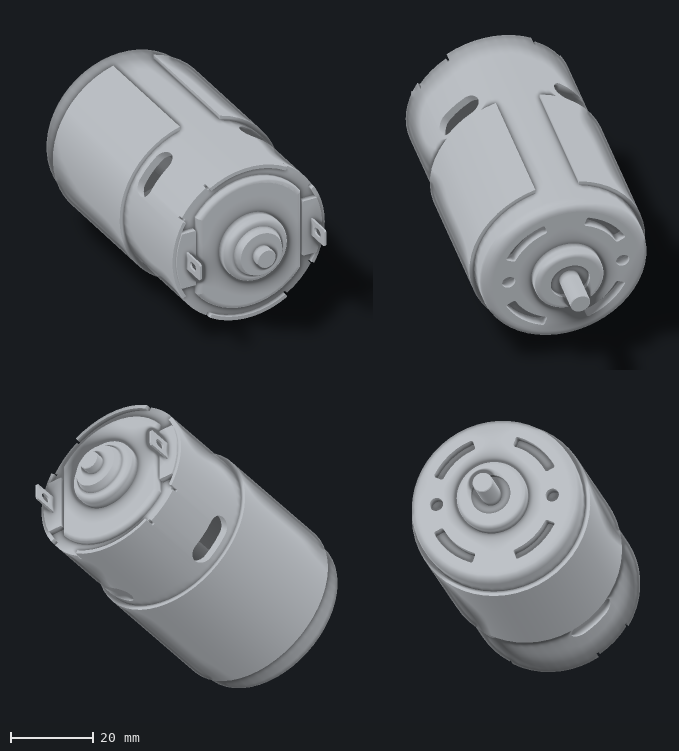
import cadquery as cq
import math

shaft_length = 87.75
shaft_dia = 5.0
shaft_chamfer = 0.2

can_start = 12.7
can_end = 78.45
can_dia = 42.3
can_bore_dia = 37.9
can_fillet = 2.5
front_wall = 4.4
rim_wall = 1.0
rim_bore_dia = can_dia - 2 * rim_wall

sleeve_start = 19.9
sleeve_end = 53.8
sleeve_dia = 44.7
sleeve_gap = 11.15

boss_dia = 17.5
front_boss_fillet = 1.2
rear_boss_fillet = 1.4
front_boss_start = 8.8
front_recess_dia = 9.9
front_recess_depth = 1.2
rear_boss_end = 82.9
rear_cone_end = 85.0
rear_cone_base_dia = 13.2
rear_cone_tip_dia = 11.5

screw_hole_dia = 3.3
screw_hole_offset = 14.5
screw_hole_depth = 2.6
screw_cone_depth = 1.0
vent_depth = 2.8
vent_inner_radius = 14.3
vent_outer_radius = 16.85
vent_start_angle = 25.5
vent_end_angle = 71.0
vent_corner_radius = 0.5

window_center = 58.9
window_width = 5.9
window_length = 12.8
window_angle = 48.6

notch_floor = 77.3
notch_angle = 45.0
notch_half_angle = 13.6
relief_start = 76.0
relief_width = 0.6

plate_start = 75.1
disc_end = 79.2
disc_dia = 35.8
disc_flats = 28.8
disc_fillet = 1.3

block_end = 78.9
block_width = 15.3
block_inner_y = 14.9
terminal_end = 85.8
terminal_width = 4.6
terminal_thickness = 0.5
terminal_y = 17.3
terminal_chamfer = 0.4
terminal_hole_center = 82.2
terminal_hole_length = 3.1
terminal_hole_width = 2.0


def cylinder(start, end, dia):
    """Solid cylinder on the motor axis between two X positions."""
    return cq.Workplane("YZ", origin=(start, 0, 0)).circle(dia / 2).extrude(end - start)


def box(start, end, y_min, y_max, z_min, z_max):
    """Axis-aligned block between two corners."""
    size = (end - start, y_max - y_min, z_max - z_min)
    return cq.Workplane().box(*size, centered=False).translate((start, y_min, z_min))


def turned(shape, angle):
    """Shape turned about the motor axis."""
    return shape.rotate((0, 0, 0), (1, 0, 0), angle)


def make_can():
    """Cup with a rounded front edge, a thick front wall and a thinned rear rim."""
    shell = cylinder(can_start, can_end, can_dia).faces("<X").edges().fillet(can_fillet)
    shell = shell.cut(cylinder(can_start + front_wall, can_end, can_bore_dia))
    return shell.cut(cylinder(plate_start, can_end, rim_bore_dia))


def make_sleeve():
    """Ring around the can with a straight gap along the top."""
    ring = cylinder(sleeve_start, sleeve_end, sleeve_dia)
    ring = ring.cut(cylinder(sleeve_start, sleeve_end, can_bore_dia))
    gap = box(sleeve_start, sleeve_end, -sleeve_gap / 2, sleeve_gap / 2, 0, sleeve_dia)
    return ring.cut(gap.cut(cylinder(sleeve_start, sleeve_end, can_dia)))


def make_side_window():
    """Radial slot through the can wall, centred on +Y."""
    return (
        cq.Workplane("XZ", origin=(window_center, can_bore_dia / 4, 0))
        .slot2D(window_length, window_width, 90)
        .extrude(-can_dia / 2)
    )


def make_rim_notch():
    """Rim notch with a narrow relief slit at each end, centred on +Y."""
    radius = can_dia
    half = math.radians(notch_half_angle)
    sector = (
        cq.Workplane("YZ", origin=(notch_floor, 0, 0))
        .polyline([
            (0, 0),
            (radius, -radius * math.tan(half)),
            (radius, radius * math.tan(half)),
        ])
        .close()
        .extrude(can_end - notch_floor)
    )
    slit = box(relief_start, can_end, 0, radius, -relief_width / 2, relief_width / 2)
    notch = sector
    for angle in (-notch_half_angle, notch_half_angle):
        notch = notch.union(turned(slit, angle))
    return notch.cut(cylinder(relief_start, can_end, rim_bore_dia))


def make_vent():
    """Arc-shaped vent pocket in the front face, in the +Y +Z quarter."""
    middle_angle = (vent_start_angle + vent_end_angle) / 2

    def at(radius, angle):
        return (radius * math.cos(math.radians(angle)), radius * math.sin(math.radians(angle)))

    return (
        cq.Workplane("YZ", origin=(can_start, 0, 0))
        .moveTo(*at(vent_inner_radius, vent_start_angle))
        .lineTo(*at(vent_outer_radius, vent_start_angle))
        .threePointArc(at(vent_outer_radius, middle_angle), at(vent_outer_radius, vent_end_angle))
        .lineTo(*at(vent_inner_radius, vent_end_angle))
        .threePointArc(at(vent_inner_radius, middle_angle), at(vent_inner_radius, vent_start_angle))
        .close()
        .extrude(vent_depth)
        .edges("|X")
        .fillet(vent_corner_radius)
    )


def make_screw_hole(y):
    """Blind hole with a conical bottom in the front face."""
    radius = screw_hole_dia / 2
    cone_start = can_start + screw_hole_depth
    return (
        cq.Workplane("XY")
        .polyline([
            (can_start, 0),
            (can_start, radius),
            (cone_start, radius),
            (cone_start + screw_cone_depth, 0),
        ])
        .close()
        .revolve(360, (0, 0, 0), (1, 0, 0))
        .translate((0, y, 0))
    )


def make_front_boss():
    """Front bearing housing."""
    boss = cylinder(front_boss_start, can_start + front_wall, boss_dia)
    boss = boss.faces("<X").edges().fillet(front_boss_fillet)
    recess_end = front_boss_start + front_recess_depth
    return boss.cut(cylinder(front_boss_start, recess_end, front_recess_dia))


def make_rear_plate():
    """Plate closing the can, with a raised disc that has two flats."""
    disc = cylinder(notch_floor, disc_end, disc_dia)
    disc = disc.intersect(
        box(notch_floor, disc_end, -disc_flats / 2, disc_flats / 2, -disc_dia, disc_dia)
    )
    disc = disc.faces(">X").edges().fillet(disc_fillet)
    return cylinder(plate_start, notch_floor, rim_bore_dia).union(disc)


def make_rear_boss():
    """Rear bearing housing with a tapered nose."""
    boss = cylinder(notch_floor, rear_boss_end, boss_dia)
    boss = boss.faces(">X").edges().fillet(rear_boss_fillet)
    nose = (
        cq.Workplane("YZ", origin=(rear_boss_end, 0, 0))
        .circle(rear_cone_base_dia / 2)
        .workplane(offset=rear_cone_end - rear_boss_end)
        .circle(rear_cone_tip_dia / 2)
        .loft()
    )
    return boss.union(nose)


def make_terminal():
    """Flat terminal blade with an oblong hole on its carrier block, on the +Y side."""
    half_block = block_width / 2
    block = box(notch_floor, block_end, block_inner_y, rim_bore_dia, -half_block, half_block)
    block = block.intersect(cylinder(notch_floor, block_end, rim_bore_dia))
    blade_inner_y = terminal_y - terminal_thickness / 2
    half_blade = terminal_width / 2
    blade = box(
        notch_floor, terminal_end,
        blade_inner_y, blade_inner_y + terminal_thickness,
        -half_blade, half_blade,
    )
    blade = blade.faces(">X").edges("|Y").chamfer(terminal_chamfer)
    hole = (
        cq.Workplane("XZ", origin=(terminal_hole_center, rim_bore_dia / 2, 0))
        .slot2D(terminal_hole_length, terminal_hole_width)
        .extrude(rim_bore_dia / 2)
    )
    return block.union(blade.cut(hole))


result = make_can().union(make_sleeve())

for quarter_turn in (0, 90, 180, 270):
    result = result.cut(turned(make_side_window(), window_angle + quarter_turn))
    result = result.cut(turned(make_rim_notch(), notch_angle + quarter_turn))

vents = make_vent()
vents = vents.union(vents.mirror("XZ"))
vents = vents.union(vents.mirror("XY"))
result = result.cut(vents)

for hole_y in (-screw_hole_offset, screw_hole_offset):
    result = result.cut(make_screw_hole(hole_y))

terminal = make_terminal()

shaft = cylinder(0, shaft_length, shaft_dia).faces("<X or >X").edges().chamfer(shaft_chamfer)
for feature in (
    make_front_boss(), make_rear_plate(), make_rear_boss(), terminal, terminal.mirror("XZ"), shaft,
):
    result = result.union(feature)